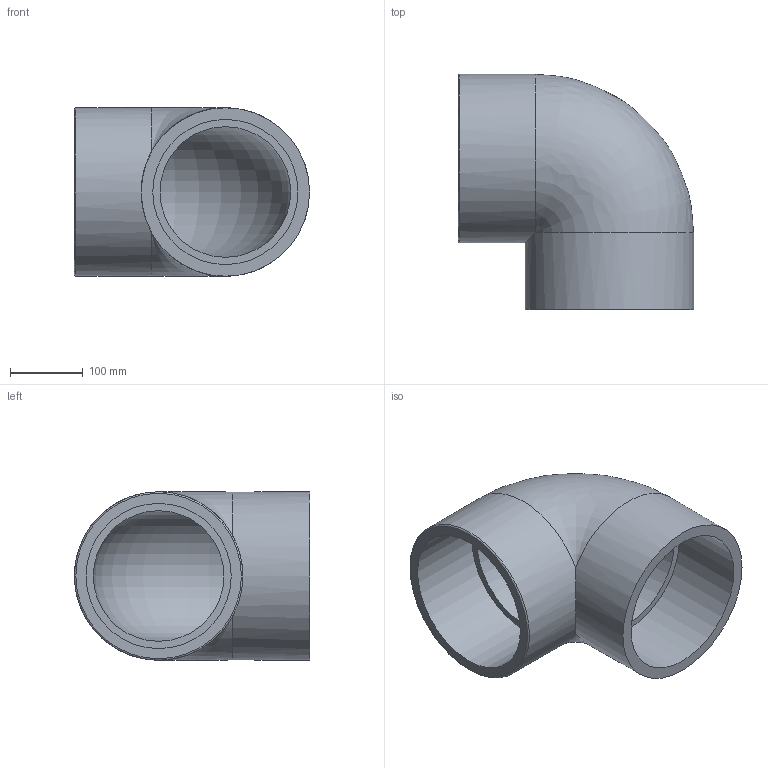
import cadquery as cq
import math


outer_diameter = 232.0
socket_diameter = 200.0
bore_diameter = 180.0
overall_length = 324.0
socket_depth = 106.0
rim_rounding = 2.0

outer_radius = outer_diameter / 2
axis_to_rim = overall_length - outer_radius
bend_radius = axis_to_rim - socket_depth


def x_socket_cylinder(diameter):
    """Cylinder from the -X rim to the start of the bend."""
    return (
        cq.Workplane("YZ", origin=(-axis_to_rim, 0, 0))
        .circle(diameter / 2)
        .extrude(socket_depth)
    )


def y_socket_cylinder(diameter):
    """Cylinder from the -Y rim to the start of the bend."""
    return (
        cq.Workplane("XZ", origin=(0, -axis_to_rim, 0))
        .circle(diameter / 2)
        .extrude(-socket_depth)
    )


def bend_workplane():
    """XZ plane through the vertical axis of the bend."""
    return cq.Workplane("XZ", origin=(-bend_radius, -bend_radius, 0))


def outer_bend():
    """Solid quarter ring. The pipe radius exceeds the bend radius, so its section stops at the axis."""
    half_chord = math.sqrt(outer_radius**2 - bend_radius**2)
    full_ring = (
        bend_workplane()
        .moveTo(0, -half_chord)
        .threePointArc((bend_radius + outer_radius, 0), (0, half_chord))
        .close()
        .revolve(360, (0, 0), (0, 1))
    )
    quadrant_side = bend_radius + outer_diameter
    quadrant = (
        cq.Workplane("XY")
        .box(quadrant_side, quadrant_side, 2 * outer_diameter, centered=(False, False, True))
        .translate((-bend_radius, -bend_radius, 0))
    )
    return full_ring.intersect(quadrant)


def bend_bore():
    """Curved passage joining the two sockets."""
    return (
        bend_workplane()
        .moveTo(bend_radius, 0)
        .circle(bore_diameter / 2)
        .revolve(90, (0, 0), (0, 1))
    )


def elbow_body():
    """Solid elbow before the sockets and the bend are hollowed out."""
    x_sleeve = x_socket_cylinder(outer_diameter).faces("<X").edges().fillet(rim_rounding)
    y_sleeve = y_socket_cylinder(outer_diameter)
    return outer_bend().union(x_sleeve).union(y_sleeve)


result = (
    elbow_body()
    .cut(x_socket_cylinder(socket_diameter))
    .cut(y_socket_cylinder(socket_diameter))
    .cut(bend_bore())
)